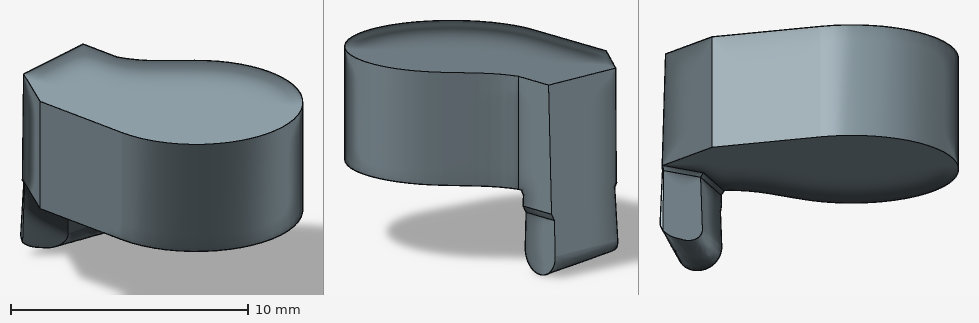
import cadquery as cq
import math

body_radius = 4.5
body_height = 4.91
shank_back_y = 1.17
shank_back_x = -5.77
hollow_mid = (-4.96, 1.55)
hollow_end_x = -4.26
front_corner_x = -4.78
front_slope_end = (-7.36, -2.86)

end_top_x = -7.76
end_skew = math.tan(math.radians(6.0))
end_lean = math.tan(math.radians(2.0))
end_land_height = 0.11

round_top_z = -2.52
back_half_width = 1.0
back_tip_z = -3.51
front_y = -2.79
front_half_width = 0.67
front_tip_z = -3.05
neck_height = 0.19
neck_flare = 0.12
neck_narrowing = 0.09

back_step_y = 1.01
back_step_top_z = -0.66
back_step_bottom_z = -0.96
neck_front_y = -2.66
front_lean = math.tan(math.radians(2.7))
relief_start_x = -7.47
relief_slope = 1.05
margin = 0.62


def end_face_x(y, z):
    """X position of the inclined end face."""
    return end_top_x + end_skew * (shank_back_y - y) - end_lean * (body_height - end_land_height - z)


def make_body():
    tangent = body_radius * math.sqrt(0.5)
    hollow_end = (hollow_end_x, hollow_end_x + 2 * tangent)
    slope = (front_slope_end[1] + body_radius) / (front_slope_end[0] - front_corner_x)
    outer_x = end_top_x - margin
    outer_front_y = -body_radius + slope * (outer_x - front_corner_x)
    outline = (
        cq.Workplane("XY")
        .moveTo(0, -body_radius)
        .threePointArc((body_radius, 0), (0, body_radius))
        .threePointArc(
            (-body_radius * math.sin(math.pi / 8), body_radius * math.cos(math.pi / 8)),
            (-tangent, tangent),
        )
        .lineTo(*hollow_end)
        .threePointArc(hollow_mid, (shank_back_x, shank_back_y))
        .lineTo(outer_x, shank_back_y)
        .lineTo(outer_x, outer_front_y)
        .lineTo(front_corner_x, -body_radius)
        .close()
    )
    return outline.extrude(body_height).intersect(make_end_trim())


def trim_section(y):
    """Region behind the end face, in the XZ plane at the given Y."""
    top_z = body_height + margin
    land_z = body_height - end_land_height
    points = [
        (end_face_x(y, 0), 0),
        (body_radius + margin, 0),
        (body_radius + margin, top_z),
        (end_face_x(y, land_z), top_z),
        (end_face_x(y, land_z), land_z),
    ]
    return cq.Wire.makePolygon([cq.Vector(x, y, z) for x, z in points], close=True)


def make_end_trim():
    reach = body_radius + margin
    return cq.Workplane(cq.Solid.makeLoft([trim_section(reach), trim_section(-reach)], True))


def blade_section(y, half_width, tip_z):
    """Round-cornered blade profile in the XZ plane at the given Y."""
    corner = round_top_z - tip_z
    corner_inset = corner * (1 - math.sqrt(0.5))
    left_x = end_face_x(y, round_top_z)
    right_x = left_x + 2 * half_width
    neck_x = right_x - neck_narrowing
    return (
        cq.Workplane("XZ", origin=(0, y, 0))
        .moveTo(end_face_x(y, 0), 0)
        .lineTo(left_x, round_top_z)
        .threePointArc((left_x + corner_inset, tip_z + corner_inset), (left_x + corner, tip_z))
        .lineTo(right_x - corner, tip_z)
        .threePointArc((right_x - corner_inset, tip_z + corner_inset), (right_x, round_top_z))
        .lineTo(neck_x, -neck_height)
        .lineTo(neck_x + neck_flare, 0)
        .close()
        .val()
    )


def side_section(x, relief):
    """Blade outline in the YZ plane at the given X, its front set back by the relief."""
    bottom_z = back_tip_z - margin
    bottom_front_y = neck_front_y + front_lean * (bottom_z + neck_height)
    points = [
        (shank_back_y, 0),
        (shank_back_y, back_step_top_z),
        (back_step_y, back_step_bottom_z),
        (back_step_y, bottom_z),
        (bottom_front_y + relief, bottom_z),
        (neck_front_y + relief, -neck_height),
        (neck_front_y - neck_flare + relief, 0),
    ]
    return cq.Wire.makePolygon([cq.Vector(x, y, z) for y, z in points], close=True)


def make_blade():
    sections = [
        blade_section(shank_back_y, back_half_width, back_tip_z),
        blade_section(front_y - neck_flare, front_half_width, front_tip_z),
    ]
    tapered = cq.Workplane(cq.Solid.makeLoft(sections, True))
    relief_length = 2 * back_half_width
    start = side_section(end_top_x - margin, 0)
    land_end = side_section(relief_start_x, 0)
    far_end = side_section(relief_start_x + relief_length, relief_slope * relief_length)
    land_side = cq.Workplane(cq.Solid.makeLoft([start, land_end], True))
    relieved_side = cq.Workplane(cq.Solid.makeLoft([land_end, far_end], True))
    return tapered.intersect(land_side).union(tapered.intersect(relieved_side))


result = make_body().union(make_blade())